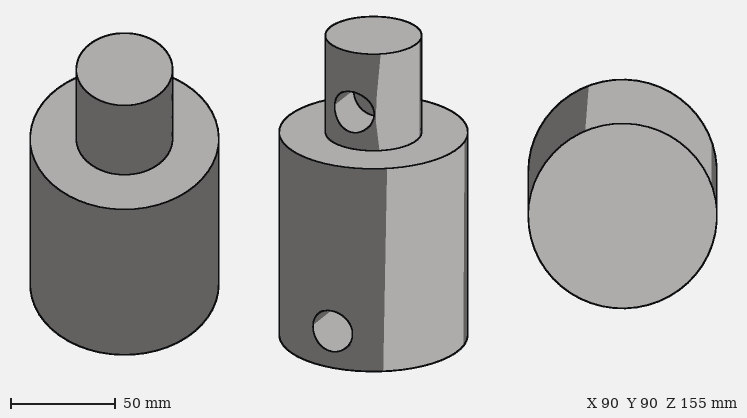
import cadquery as cq

body_diameter = 90.0
body_height = 105.0
neck_diameter = 46.0
neck_height = 50.0
hole_diameter = 21.0
hole_rise = 19.0


def stepped_shaft():
    """Large cylindrical body with a smaller coaxial neck on top."""
    body = cq.Workplane("XY").circle(body_diameter / 2).extrude(body_height)
    neck = (
        cq.Workplane("XY")
        .workplane(offset=body_height)
        .circle(neck_diameter / 2)
        .extrude(neck_height)
    )
    return body.union(neck)


def side_hole(cylinder_diameter, cylinder_base_height):
    """Blind radial hole from the +Y side, ending at the shaft axis."""
    cylinder_radius = cylinder_diameter / 2
    entry = cq.Vector(0, cylinder_radius, cylinder_base_height + hole_rise)
    inward = cq.Vector(0, -1, 0)
    return cq.Workplane(cq.Solid.makeCylinder(hole_diameter / 2, cylinder_radius, entry, inward))


body_hole = side_hole(body_diameter, 0)
neck_hole = side_hole(neck_diameter, body_height)

result = stepped_shaft().cut(body_hole).cut(neck_hole)